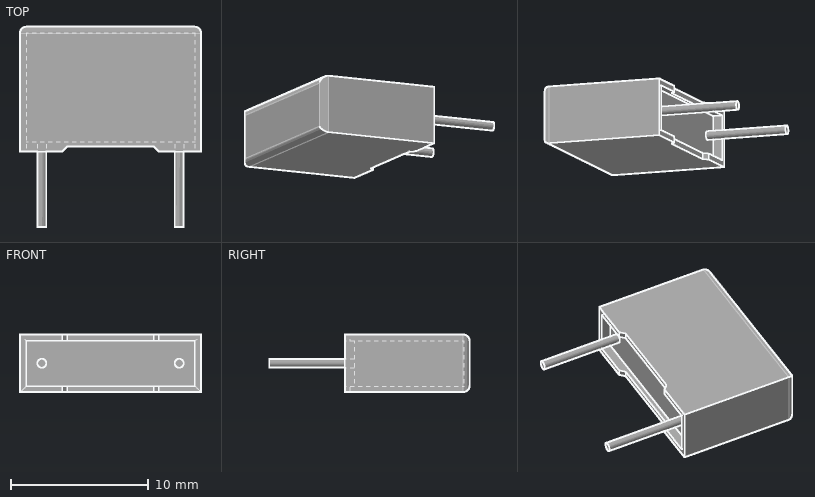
import cadquery as cq


overall_length = 14.6
lead_length = 5.5
case_width = 13.2
case_height = 4.21
wall = 0.45
end_round = 0.5
notch_width = 7.0
notch_depth = 0.35
potting_recess = 0.7
lead_spacing = 10.0
lead_diameter = 0.65

case_length = overall_length - lead_length
cavity_width = case_width - 2 * wall
cavity_height = case_height - 2 * wall
cavity_depth = case_length - wall
potting_length = cavity_depth - potting_recess
notch_floor_width = notch_width - 2 * notch_depth


def block(width, length, height, start_y):
    """Box centred on X and Z that runs from start_y toward +Y."""
    return (
        cq.Workplane("XY")
        .box(width, length, height, centered=(True, False, True))
        .translate((0, start_y, 0))
    )


def make_rim_notch():
    """Trapezoidal cutter that relieves both long walls at the rim."""
    return (
        cq.Workplane("XY")
        .moveTo(-notch_width / 2, 0)
        .lineTo(-notch_floor_width / 2, notch_depth)
        .lineTo(notch_floor_width / 2, notch_depth)
        .lineTo(notch_width / 2, 0)
        .close()
        .extrude(case_height / 2, both=True)
    )


def make_case():
    """Thin-walled case, rounded at the closed end and notched at the rim."""
    shell = block(case_width, case_length, case_height, 0).faces(">Y").edges().fillet(end_round)
    cavity = block(cavity_width, cavity_depth, cavity_height, 0)
    return shell.cut(cavity).cut(make_rim_notch())


def make_potting():
    """Resin block that fills the cavity up to the recessed face."""
    return block(cavity_width, potting_length, cavity_height, potting_recess)


def make_lead(x):
    """Straight round lead that starts on the potting face and points toward -Y."""
    return (
        cq.Workplane("XZ", origin=(x, potting_recess, 0))
        .circle(lead_diameter / 2)
        .extrude(potting_recess + lead_length)
    )


case = make_case()
potting = make_potting()
leads = [make_lead(side * lead_spacing / 2) for side in (-1, 1)]

result = cq.Compound.makeCompound([case.val(), potting.val(), *[lead.val() for lead in leads]])